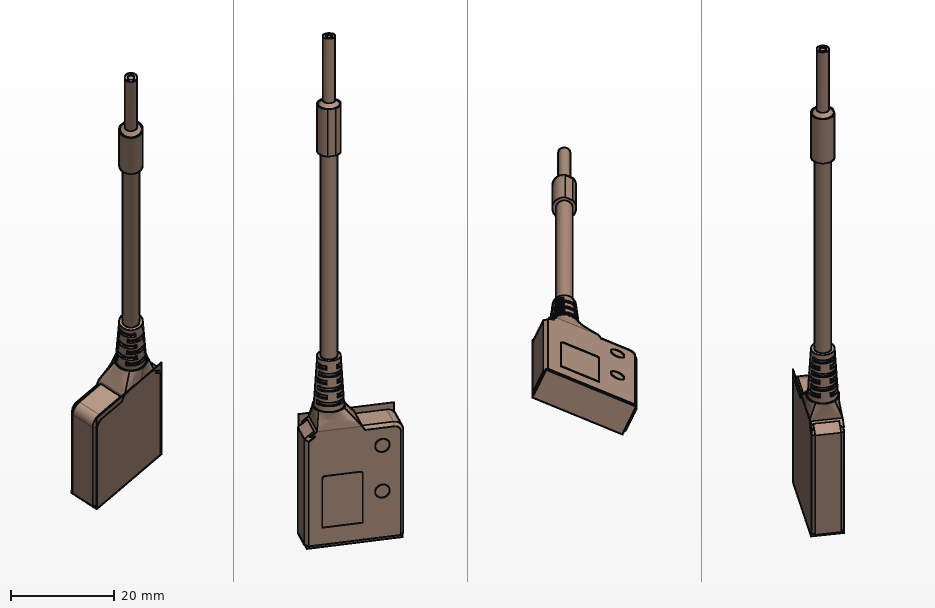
import cadquery as cq


housing_thickness = 6.6
housing_width = 19.8
housing_center_y = -4.3
housing_bottom_z = 0.5
housing_top_z = 25.3
front_corner_radius = 2.0
rear_corner_y = 3.6
rear_corner_z = 23.9
edge_chamfer = 0.7

neck_top_radius = 3.2
neck_top_z = 29.4
neck_foot_z = 25.6
neck_foot_rear_y = 3.2
neck_foot_front_y = -5.7
pedestal_bottom_z = 24.5
pedestal_rear_y = 4.6
pedestal_front_y = -6.4

skin_thickness = 0.1
plate_width = 19.1
plate_height = 26.3

mark_depth = 0.1
window_center_y = -1.9
window_bottom_z = 4.3
window_width = 8.1
window_height = 11.3
window_corner_radius = 0.5
button_center_y = -9.8
button_heights = (10.7, 20.8)
button_radius = 1.4

relief_top_z = 40.2
relief_bottom_radius = 3.0
relief_top_radius = 2.3
groove_count = 6
groove_first_z = 30.9
groove_pitch = 1.5
groove_width = 0.8
groove_depth = 0.4
groove_bridge_width = 2.1

cable_radius = 1.7
sleeve_bottom_z = 85.2
sleeve_top_z = 95.6
sleeve_radius = 2.3
sleeve_flat_width = 1.5
shoulder_height = 0.8
shoulder_radius = 2.1
wire_radius = 1.2
wire_top_z = 110.5
core_radius = 0.7
core_recess = 0.2

half_thickness = housing_thickness / 2
core_half_thickness = half_thickness - skin_thickness
housing_front_y = housing_center_y - housing_width / 2
housing_rear_y = housing_center_y + housing_width / 2


def rod(radius, bottom_z, top_z):
    """Round bar on the cable axis."""
    return cq.Workplane("XY", origin=(0, 0, bottom_z)).circle(radius).extrude(top_z - bottom_z)


def cone(bottom_radius, bottom_z, top_radius, top_z):
    """Tapered round bar on the cable axis."""
    outline = [(0, bottom_z), (bottom_radius, bottom_z), (top_radius, top_z), (0, top_z)]
    return cq.Workplane("XZ").polyline(outline).close().revolve(360, (0, 0), (0, 1))


def make_housing():
    """Side profile of the housing, chamfered along both broad faces, with a pad on -X."""
    core = (
        cq.Workplane("YZ", origin=(-core_half_thickness, 0, 0))
        .moveTo(housing_front_y, housing_bottom_z)
        .lineTo(housing_front_y, housing_top_z - front_corner_radius)
        .radiusArc((housing_front_y + front_corner_radius, housing_top_z), front_corner_radius)
        .lineTo(rear_corner_y, housing_top_z)
        .lineTo(housing_rear_y, rear_corner_z)
        .lineTo(housing_rear_y, housing_bottom_z)
        .close()
        .extrude(2 * core_half_thickness)
        .faces("<X or >X")
        .edges("not <Z")
        .chamfer(edge_chamfer)
    )
    return core.faces("<X").wires().toPending().workplane().extrude(skin_thickness)


def make_neck():
    """Pedestal set into the housing, blending from a rectangle to a round top."""
    pedestal = (
        cq.Workplane("YZ", origin=(-half_thickness, 0, 0))
        .moveTo(pedestal_front_y, pedestal_bottom_z)
        .lineTo(neck_foot_front_y, neck_foot_z)
        .lineTo(neck_foot_rear_y, neck_foot_z)
        .lineTo(pedestal_rear_y, pedestal_bottom_z)
        .close()
        .extrude(2 * half_thickness)
    )
    foot_length = neck_foot_rear_y - neck_foot_front_y
    foot_center_y = (neck_foot_rear_y + neck_foot_front_y) / 2
    blend = (
        cq.Workplane("XY", origin=(0, 0, neck_foot_z))
        .center(0, foot_center_y)
        .rect(2 * half_thickness, foot_length)
        .workplane(offset=neck_top_z - neck_foot_z)
        .center(0, -foot_center_y)
        .circle(neck_top_radius)
        .loft(ruled=True)
    )
    return pedestal.union(blend)


def make_plate_and_lid():
    """Square-cornered plate on the +X face and the lid under the housing."""
    plate = cq.Workplane("XY").box(skin_thickness, plate_width, plate_height).translate(
        (half_thickness - skin_thickness / 2, housing_center_y, plate_height / 2)
    )
    lid = cq.Workplane("XY").box(2 * core_half_thickness, plate_width, housing_bottom_z).translate(
        (0, housing_center_y, housing_bottom_z / 2)
    )
    return plate.union(lid)


def make_face_marks():
    """Shallow recesses for the window and the two round buttons."""
    window_center_z = window_bottom_z + window_height / 2
    marks = (
        cq.Workplane("XY")
        .box(mark_depth, window_width, window_height)
        .edges("|X and >Z")
        .fillet(window_corner_radius)
        .translate((mark_depth / 2 - half_thickness, window_center_y, window_center_z))
    )
    buttons = (
        cq.Workplane("YZ", origin=(-half_thickness, 0, 0))
        .pushPoints([(button_center_y, z) for z in button_heights])
        .circle(button_radius)
        .extrude(mark_depth)
    )
    return marks.union(buttons)


def make_groove(index):
    """Ring groove broken by two bridges, which alternate between the X and Y sides."""
    center_z = groove_first_z + index * groove_pitch
    slope = (relief_top_radius - relief_bottom_radius) / (relief_top_z - neck_top_z)
    surface_radius = relief_bottom_radius + slope * (center_z - neck_top_z)
    outer_radius = 2 * relief_bottom_radius
    bottom_z = center_z - groove_width / 2
    top_z = center_z + groove_width / 2
    ring = rod(outer_radius, bottom_z, top_z).cut(rod(surface_radius - groove_depth, bottom_z, top_z))
    bridge_size = [2 * outer_radius, groove_bridge_width]
    if index % 2 == 0:
        bridge_size.reverse()
    bridge = cq.Workplane("XY").box(*bridge_size, groove_width).translate((0, 0, center_z))
    return ring.cut(bridge)


def make_strain_relief():
    relief = cone(relief_bottom_radius, neck_top_z, relief_top_radius, relief_top_z)
    for index in range(groove_count):
        relief = relief.cut(make_groove(index))
    return relief


def make_sleeve():
    """Round sleeve with one flat on the -X side."""
    flat_x = -((sleeve_radius**2 - (sleeve_flat_width / 2) ** 2) ** 0.5)
    sleeve = rod(sleeve_radius, sleeve_bottom_z, sleeve_top_z)
    flat_cut = (
        cq.Workplane("XY", origin=(flat_x - sleeve_radius / 2, 0, sleeve_bottom_z))
        .rect(sleeve_radius, 2 * sleeve_radius)
        .extrude(sleeve_top_z - sleeve_bottom_z)
    )
    return sleeve.cut(flat_cut)


def make_wire():
    """Bare end of the cable with a conical shoulder and a recessed core."""
    shoulder = cone(shoulder_radius, sleeve_top_z, wire_radius, sleeve_top_z + shoulder_height)
    wire = rod(wire_radius, sleeve_top_z, wire_top_z)
    return wire.union(shoulder).cut(rod(core_radius, wire_top_z - core_recess, wire_top_z))


result = (
    make_housing()
    .cut(make_face_marks())
    .union(make_plate_and_lid())
    .union(make_neck())
    .union(make_strain_relief())
    .union(rod(cable_radius, relief_top_z, sleeve_bottom_z))
    .union(make_sleeve())
    .union(make_wire())
)